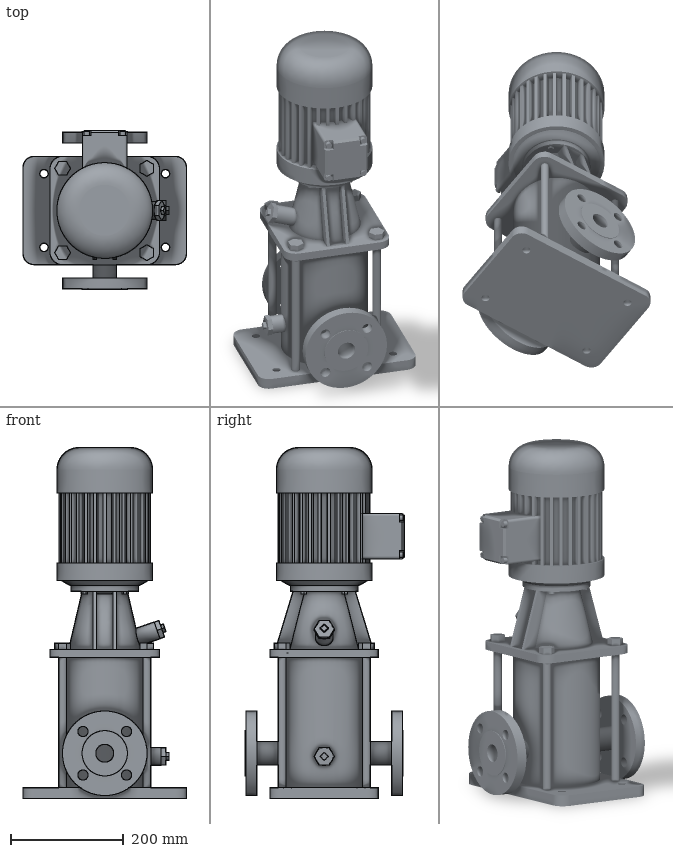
import cadquery as cq
import math


total_height = 622.0
base_top = 19.0
head_plate_bottom = 250.0
head_plate_top = 264.5
motor_flange_bottom = 367.0
motor_flange_top = 377.5
lower_ring_bottom = 386.0
lower_ring_top = 417.5
cap_bottom = 541.0

base_length = 290.0
head_plate_length = 194.0
plate_width = 192.0
base_corner_radius = 20.0
head_plate_corner_radius = 22.5
foot_hole_diameter = 14.0
foot_hole_x = 107.5
foot_hole_y = 65.0

casing_diameter = 155.0
tie_rod_diameter = 14.0
tie_rod_offset = 74.5
tie_bolt_flats = 24.0
tie_bolt_height = 11.0

pipe_axis_z = 80.0
pipe_diameter = 42.0
pipe_bore = 32.0
pipe_flange_diameter = 150.0
pipe_flange_back = 119.5
pipe_flange_front = 139.0
raised_face_diameter = 80.0
raised_face_end = 140.0
flange_hole_diameter = 18.0
flange_hole_offset = 38.5

lantern_bottom_diameter = 128.0
lantern_top_diameter = 80.0
rib_outer_half_width = 20.5
rib_thickness = 5.5
rib_bottom_reach = 86.5
rib_top_reach = 55.5
rib_slope = (rib_bottom_reach - rib_top_reach) / (motor_flange_bottom - head_plate_top)
recess_depth = 28.0
top_wedge_depth = 16.0
lantern_root_depth = 12.5
motor_bolt_flats = 10.0
motor_bolt_height = 5.0
motor_bolt_offset = 36.0

motor_diameter = 170.0
motor_flange_diameter = 120.0
shoulder_top_diameter = 154.0
shoulder_bottom_diameter = 124.0
cap_edge_radius = 40.0
fin_count = 30
fin_tip_diameter = 163.0
fin_root_diameter = 139.5
fin_thickness = 5.5

box_width = 79.0
box_bottom = 424.0
box_top = 505.0
box_inner_y = 56.0
box_end_y = 142.0
box_side_radius = 5.0
box_end_chamfer = 4.0
box_notch_size = 15.5
box_notch_depth = 9.0
box_screw_diameter = 10.0
box_screw_height = 7.0

plug_boss_diameter = 32.0
plug_hex_flats = 31.0
plug_hex_height = 9.0
plug_square_diagonal = 14.0
plug_square_height = 5.5
drain_z = 74.5
drain_boss_end_x = 99.5
drain_boss_length = 37.5
fill_boss_end_x = 92.5
fill_boss_end_z = 298.0
fill_boss_length = 50.0
fill_angle = 19.0


def cylinder(diameter, bottom, top):
    """Upright cylinder on the pump axis."""
    return cq.Workplane("XY").workplane(offset=bottom).circle(diameter / 2).extrude(top - bottom)


def cone(bottom_diameter, top_diameter, bottom, top):
    """Upright truncated cone on the pump axis."""
    profile = [
        (0, bottom),
        (bottom_diameter / 2, bottom),
        (top_diameter / 2, top),
        (0, top),
    ]
    return cq.Workplane("XZ").polyline(profile).close().revolve(360, (0, 0, 0), (0, 1, 0))


def rounded_plate(length, bottom, top, corner_radius):
    plate = cq.Workplane("XY").workplane(offset=bottom).rect(length, plate_width).extrude(top - bottom)
    return plate.edges("|Z").fillet(corner_radius)


def hex_corner_diameter(flats):
    return flats / math.cos(math.pi / 6)


def make_base():
    holes = (
        cq.Workplane("XY")
        .rect(2 * foot_hole_x, 2 * foot_hole_y, forConstruction=True)
        .vertices()
        .circle(foot_hole_diameter / 2)
        .extrude(base_top)
    )
    return rounded_plate(base_length, 0, base_top, base_corner_radius).cut(holes)


def make_tie_rods():
    """Four tie rods with hexagonal heads; heads on +X are turned by 90 degrees."""
    rods = (
        cq.Workplane("XY")
        .workplane(offset=base_top)
        .rect(2 * tie_rod_offset, 2 * tie_rod_offset, forConstruction=True)
        .vertices()
        .circle(tie_rod_diameter / 2)
        .extrude(head_plate_top - base_top)
    )
    head = cq.Workplane("XY").polygon(6, hex_corner_diameter(tie_bolt_flats)).extrude(tie_bolt_height)
    turned_head = head.rotate((0, 0, 0), (0, 0, 1), 90)
    for y in (-tie_rod_offset, tie_rod_offset):
        rods = rods.union(head.translate((-tie_rod_offset, y, head_plate_top)))
        rods = rods.union(turned_head.translate((tie_rod_offset, y, head_plate_top)))
    return rods


def connection_plane(distance):
    """Plane facing -Y on the suction pipe axis, at a distance from the pump axis."""
    return cq.Workplane("XZ", origin=(0, -distance, pipe_axis_z))


def make_suction_connection():
    flange = connection_plane(pipe_flange_back).circle(pipe_flange_diameter / 2)
    flange = flange.extrude(pipe_flange_front - pipe_flange_back)
    holes = (
        connection_plane(pipe_flange_back)
        .rect(2 * flange_hole_offset, 2 * flange_hole_offset, forConstruction=True)
        .vertices()
        .circle(flange_hole_diameter / 2)
        .extrude(pipe_flange_front - pipe_flange_back)
    )
    pipe = connection_plane(0).circle(pipe_diameter / 2).extrude(pipe_flange_front)
    raised_face = connection_plane(pipe_flange_front).circle(raised_face_diameter / 2)
    raised_face = raised_face.extrude(raised_face_end - pipe_flange_front)
    bore = connection_plane(0).circle(pipe_bore / 2).extrude(raised_face_end)
    return flange.cut(holes).union(pipe).union(raised_face).cut(bore)


def rib_gap_wedge(reach, depth, z):
    """Wedges on -Y and +Y below height z, spanning a rib pair and thinning out to the given reach.

    Their lower face is square to the slanted rib edge.
    """
    outline = [
        (reach, z),
        (reach - depth, z - depth * rib_slope),
        (reach - depth, z),
    ]
    half_width = rib_outer_half_width - rib_thickness / 2
    wedge = cq.Workplane("YZ").polyline(outline).close().extrude(half_width, both=True)
    return wedge.union(wedge.mirror("XZ"))


def make_head_plate():
    """Rounded plate with a sloped recess between each rib pair at the lantern foot."""
    plate = rounded_plate(
        head_plate_length, head_plate_bottom, head_plate_top, head_plate_corner_radius
    )
    return plate.cut(rib_gap_wedge(rib_bottom_reach, recess_depth, head_plate_top))


def make_lantern():
    """Conical lantern, rooted in the head plate, with a pair of slanted ribs on -Y and on +Y."""
    lantern_height = motor_flange_bottom - head_plate_top
    growth_per_height = (lantern_bottom_diameter - lantern_top_diameter) / lantern_height
    root_diameter = lantern_bottom_diameter + growth_per_height * lantern_root_depth
    root_z = head_plate_top - lantern_root_depth
    lantern = cone(root_diameter, lantern_top_diameter, root_z, motor_flange_bottom)
    rib_outline = [
        (-rib_bottom_reach, head_plate_top),
        (rib_bottom_reach, head_plate_top),
        (rib_top_reach, motor_flange_bottom),
        (-rib_top_reach, motor_flange_bottom),
    ]
    rib = cq.Workplane("YZ").polyline(rib_outline).close().extrude(rib_thickness)
    lantern = lantern.union(rib_gap_wedge(rib_top_reach, top_wedge_depth, motor_flange_bottom))
    for x in (-rib_outer_half_width, rib_outer_half_width - rib_thickness):
        lantern = lantern.union(rib.translate((x, 0, 0)))
    bolts = (
        cq.Workplane("XY")
        .workplane(offset=motor_flange_bottom - motor_bolt_height)
        .rect(2 * motor_bolt_offset, 2 * motor_bolt_offset, forConstruction=True)
        .vertices()
        .polygon(6, hex_corner_diameter(motor_bolt_flats))
        .extrude(motor_bolt_height)
    )
    return lantern.union(bolts)


def make_finned_body():
    """Motor body with straight-sided cooling fins; one fin points to -Y."""
    root_radius = fin_root_diameter / 2
    tip_radius = fin_tip_diameter / 2
    half_fin = fin_thickness / 2
    points = []
    for i in range(fin_count):
        angle = math.radians(-90 + i * 360 / fin_count)
        corners = [
            (root_radius, -half_fin),
            (tip_radius, -half_fin),
            (tip_radius, half_fin),
            (root_radius, half_fin),
        ]
        for radial, side in corners:
            x = radial * math.cos(angle) - side * math.sin(angle)
            y = radial * math.sin(angle) + side * math.cos(angle)
            points.append((x, y))
    outline = cq.Workplane("XY").workplane(offset=lower_ring_top).polyline(points).close()
    return outline.extrude(cap_bottom - lower_ring_top)


def make_motor():
    flange = cylinder(motor_flange_diameter, motor_flange_bottom, motor_flange_top)
    shoulder = cone(
        shoulder_bottom_diameter, shoulder_top_diameter, motor_flange_top, lower_ring_bottom
    )
    lower_ring = cylinder(motor_diameter, lower_ring_bottom, lower_ring_top)
    cap = cylinder(motor_diameter, cap_bottom, total_height)
    cap = cap.faces(">Z").edges().fillet(cap_edge_radius)
    return flange.union(shoulder).union(lower_ring).union(make_finned_body()).union(cap)


def make_terminal_box():
    """Rounded box with a cover screw set into a notch at each outer corner."""
    height = box_top - box_bottom
    middle_z = (box_top + box_bottom) / 2
    box = cq.Workplane("XZ", origin=(0, box_inner_y, middle_z)).rect(box_width, height)
    box = box.extrude(-(box_end_y - box_inner_y))
    box = box.edges("|Y").fillet(box_side_radius)
    box = box.faces(">Y").edges().chamfer(box_end_chamfer)

    notch_floor = cq.Workplane("XZ", origin=(0, box_end_y - box_notch_depth, middle_z))
    notch_spacing_x = box_width - box_notch_size
    notch_spacing_z = height - box_notch_size
    corners = notch_floor.rect(notch_spacing_x, notch_spacing_z, forConstruction=True).vertices()
    notches = corners.rect(box_notch_size, box_notch_size).extrude(-box_notch_depth)
    screws = corners.circle(box_screw_diameter / 2).extrude(-box_screw_height)
    return box.cut(notches).union(screws)


def make_plug(boss_length):
    """Plug along +X: boss ending at the origin, hexagonal collar and square key."""
    boss = cq.Workplane("YZ").circle(plug_boss_diameter / 2).extrude(-boss_length)
    collar = cq.Workplane("YZ").polygon(6, hex_corner_diameter(plug_hex_flats)).extrude(plug_hex_height)
    key = cq.Workplane("YZ").polygon(4, plug_square_diagonal)
    key = key.extrude(plug_hex_height + plug_square_height)
    return boss.union(collar).union(key)


casing = cylinder(casing_diameter, base_top, head_plate_bottom)
connection = make_suction_connection()
drain_plug = make_plug(drain_boss_length).translate((drain_boss_end_x, 0, drain_z))
fill_plug = make_plug(fill_boss_length).rotate((0, 0, 0), (0, 1, 0), -fill_angle)
fill_plug = fill_plug.translate((fill_boss_end_x, 0, fill_boss_end_z))

result = (
    make_base()
    .union(casing)
    .union(make_head_plate())
    .union(make_tie_rods())
    .union(connection)
    .union(connection.mirror("XZ"))
    .union(make_lantern())
    .union(make_motor())
    .union(make_terminal_box())
    .union(drain_plug)
    .union(fill_plug)
)